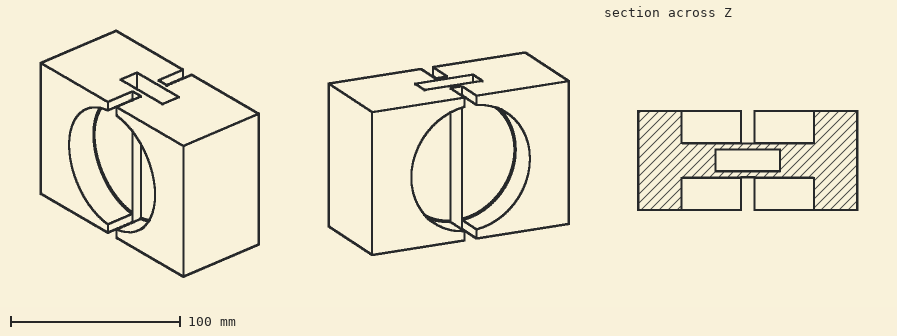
import cadquery as cq

length = 129.0
width = 58.5
height = 88.9

slot_width = 7.7
slot_depth = 19.2

window_length = 37.9
window_width = 12.6

pocket_diameter = 77.8
ledge_width = 0.8
ledge_height = 0.3
floor_recess = 0.1
pocket_depth = slot_depth - floor_recess


def face_slot():
    """Full-height slot cut into the -Y face."""
    return cq.Workplane("XY").box(slot_width, slot_depth, height).translate(
        (0, (slot_depth - width) / 2, 0)
    )


def face_pocket():
    """Stepped round pocket cut into the -Y face."""
    face = cq.Workplane("XZ", origin=(0, -width / 2, 0))
    mouth = face.circle(pocket_diameter / 2).extrude(ledge_height - pocket_depth)
    floor = face.circle(pocket_diameter / 2 - ledge_width).extrude(-pocket_depth)
    return mouth.union(floor)


body = cq.Workplane("XY").box(length, width, height)
body = body.cut(cq.Workplane("XY").box(window_length, window_width, height))

for cutter in (face_slot(), face_pocket()):
    body = body.cut(cutter).cut(cutter.mirror("XZ"))

result = body